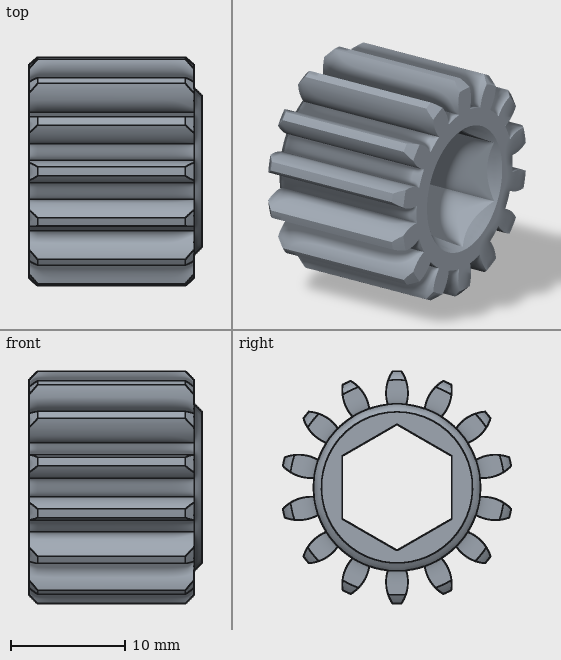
import cadquery as cq
import math

INCH = 25.4
TOOTH_COUNT = 14
MODULE = INCH / 20
DEDENDUM = 1.25 * MODULE
PITCH_RADIUS = TOOTH_COUNT * MODULE / 2
TIP_RADIUS = PITCH_RADIUS + MODULE
ROOT_RADIUS = PITCH_RADIUS - DEDENDUM

TOTAL_LENGTH = 15.14
COLLAR_LENGTH = 0.70
FACE_WIDTH = TOTAL_LENGTH - COLLAR_LENGTH
TIP_CHAMFER = 0.03 * INCH

TIP_HALF_THICKNESS = 0.39
BULGE_HALF_THICKNESS = 0.97
ROOT_HALF_THICKNESS = 0.82
BULGE_RADIUS = 8.2

HEX_FLATS = 3 / 8 * INCH
HEX_CORNERS = HEX_FLATS / math.cos(math.radians(30))
COUNTERSINK_RADIUS = 0.225 * INCH
COUNTERSINK_DEPTH = COUNTERSINK_RADIUS


def height_on_circle(radius, half_thickness):
    """Height at which a circle about the axis has the given half thickness."""
    return math.sqrt(radius**2 - half_thickness**2)


def revolve_about_axis(points):
    """Solid of revolution about X from (x, radius) points."""
    return cq.Workplane("XZ").polyline(points).close().revolve(360, (0, 0, 0), (1, 0, 0))


def make_tooth():
    """One tooth standing along +Z; its foot reaches into the root cylinder."""
    tip_height = height_on_circle(TIP_RADIUS, TIP_HALF_THICKNESS)
    root_height = height_on_circle(ROOT_RADIUS, ROOT_HALF_THICKNESS)
    foot_height = ROOT_RADIUS - MODULE / 2
    return (
        cq.Workplane("YZ")
        .moveTo(-ROOT_HALF_THICKNESS, foot_height)
        .lineTo(-ROOT_HALF_THICKNESS, root_height)
        .threePointArc((-BULGE_HALF_THICKNESS, BULGE_RADIUS), (-TIP_HALF_THICKNESS, tip_height))
        .threePointArc((0, TIP_RADIUS), (TIP_HALF_THICKNESS, tip_height))
        .threePointArc((BULGE_HALF_THICKNESS, BULGE_RADIUS), (ROOT_HALF_THICKNESS, root_height))
        .lineTo(ROOT_HALF_THICKNESS, foot_height)
        .close()
        .extrude(FACE_WIDTH)
    )


def make_toothed_rim():
    """Root cylinder with all teeth, tips chamfered at both ends."""
    rim = cq.Workplane("YZ").circle(ROOT_RADIUS).extrude(FACE_WIDTH)
    tooth = make_tooth()
    for index in range(TOOTH_COUNT):
        angle = index * 360 / TOOTH_COUNT
        rim = rim.union(tooth.rotate((0, 0, 0), (1, 0, 0), angle))
    chamfered_radius = TIP_RADIUS - TIP_CHAMFER
    envelope = revolve_about_axis([
        (0, 0),
        (0, chamfered_radius),
        (TIP_CHAMFER, TIP_RADIUS),
        (FACE_WIDTH - TIP_CHAMFER, TIP_RADIUS),
        (FACE_WIDTH, chamfered_radius),
        (FACE_WIDTH, 0),
    ])
    return rim.intersect(envelope)


def make_collar():
    """Short 45 degree conical collar on the +X end."""
    return revolve_about_axis([
        (0, 0),
        (0, ROOT_RADIUS),
        (FACE_WIDTH, ROOT_RADIUS),
        (TOTAL_LENGTH, ROOT_RADIUS - COLLAR_LENGTH),
        (TOTAL_LENGTH, 0),
    ])


def make_bore():
    """Hexagonal bore, corners on Z, with a countersink on the -X end."""
    hexagon = (
        cq.Workplane("YZ")
        .transformed(rotate=(0, 0, 90))
        .polygon(6, HEX_CORNERS)
        .extrude(TOTAL_LENGTH)
    )
    countersink = revolve_about_axis([(0, 0), (0, COUNTERSINK_RADIUS), (COUNTERSINK_DEPTH, 0)])
    return hexagon.union(countersink)


result = make_toothed_rim().union(make_collar()).cut(make_bore())